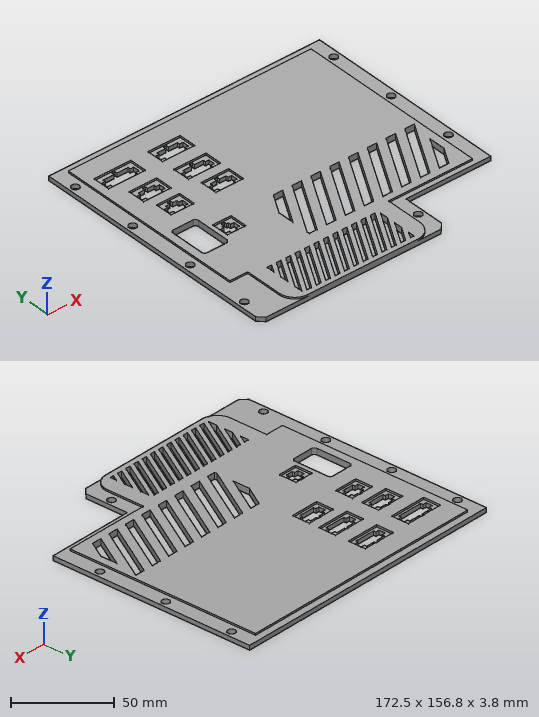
import cadquery as cq
import math

PLATE_LENGTH = 172.5
PLATE_WIDTH = 156.8
PLATE_THICKNESS = 2.8
TAB_LENGTH = 118.5
TAB_WIDTH = 30.0
TAB_CHAMFER = 3.6

TOTAL_HEIGHT = 3.8
PANEL_SIDE_MARGIN = 9.0
PANEL_TOP_MARGIN = 4.1
PANEL_BOTTOM = 33.1
PANEL_TAB_LEFT = 20.4
PANEL_TAB_RIGHT = 110.1
PANEL_TAB_RADIUS = 9.8

HOLE_DIAMETER = 4.7
HOLE_EDGE_MARGIN = 4.0
SIDE_HOLE_TOP = 141.7
SIDE_HOLE_ROWS = 3
SIDE_HOLE_PITCH = 42.5
TAB_HOLE_RIGHT_MARGIN = 3.8
TAB_HOLE_Y = 16.5

RECESS_DEPTH = 1.2
RECESS_HEIGHT = 10.9
SMALLEST_RECESS_LENGTH = 11.7
CONNECTOR_STEP = 3.0
EAR_MARGIN = 1.5
EAR_LENGTH = 2.2
EAR_HEIGHT = 4.0
BODY_HEIGHT = 7.0
BODY_BOTTOM_MARGIN = 1.4
KEY_LENGTH = 1.9
KEY_HEIGHT = 1.5
LEFT_COLUMN_RIGHT = 37.6
RIGHT_COLUMN_RIGHT = 69.0
UPPER_ROW_BOTTOM = 128.9
MIDDLE_ROW_BOTTOM = 109.7
LOWER_ROW_BOTTOM = 92.8
SMALL_CONNECTOR_RIGHT = 44.5
SMALL_CONNECTOR_BOTTOM = 62.6
CONNECTORS = [
    (LEFT_COLUMN_RIGHT, UPPER_ROW_BOTTOM, 4),
    (RIGHT_COLUMN_RIGHT, UPPER_ROW_BOTTOM, 3),
    (LEFT_COLUMN_RIGHT, MIDDLE_ROW_BOTTOM, 2),
    (RIGHT_COLUMN_RIGHT, MIDDLE_ROW_BOTTOM, 3),
    (LEFT_COLUMN_RIGHT, LOWER_ROW_BOTTOM, 1),
    (RIGHT_COLUMN_RIGHT, LOWER_ROW_BOTTOM, 2),
    (SMALL_CONNECTOR_RIGHT, SMALL_CONNECTOR_BOTTOM, 0),
]

WINDOW_LEFT = 14.0
WINDOW_BOTTOM = 58.0
WINDOW_LENGTH = 16.0
WINDOW_HEIGHT = 24.8
WINDOW_RADIUS = 1.9

SLOT_ANGLE = math.radians(60)
COARSE_SLOT_COUNT = 9
COARSE_SLOT_SPAN = 95.8
COARSE_PITCH = COARSE_SLOT_SPAN / (COARSE_SLOT_COUNT - 1)
COARSE_FIRST_X = 50.7
COARSE_LEFT = 63.7
COARSE_RIGHT = 158.7
COARSE_BOTTOM = 37.8
COARSE_TOP = 73.2
FINE_SLOT_COUNT = 15
FINE_PITCH = COARSE_PITCH / 2
FINE_FIRST_X = 14.5
FINE_LEFT = 29.9
FINE_RIGHT = 100.6
FINE_BOTTOM = 3.3
FINE_TOP = 29.9


def block(left, bottom, length, width, floor=0.0):
    """Box from the given floor up to the top of the part."""
    return cq.Workplane("XY").box(length, width, TOTAL_HEIGHT - floor, centered=False).translate(
        (left, bottom, floor)
    )


def base_plate():
    tab = block(0, 0, TAB_LENGTH, PLATE_WIDTH).edges("|Z and <Y").chamfer(TAB_CHAMFER)
    main = block(0, TAB_WIDTH, PLATE_LENGTH, PLATE_WIDTH - TAB_WIDTH)
    return tab.union(main).intersect(
        cq.Workplane("XY").box(PLATE_LENGTH, PLATE_WIDTH, PLATE_THICKNESS, centered=False)
    )


def raised_panel():
    panel_length = PLATE_LENGTH - 2 * PANEL_SIDE_MARGIN
    panel_top = PLATE_WIDTH - PANEL_TOP_MARGIN
    main = block(PANEL_SIDE_MARGIN, PANEL_BOTTOM, panel_length, panel_top - PANEL_BOTTOM, PLATE_THICKNESS)
    tab = block(PANEL_TAB_LEFT, 0, PANEL_TAB_RIGHT - PANEL_TAB_LEFT, panel_top, PLATE_THICKNESS)
    return main.union(tab.edges("|Z and <Y").fillet(PANEL_TAB_RADIUS))


def mounting_holes():
    centers = [(HOLE_EDGE_MARGIN, TAB_HOLE_Y), (TAB_LENGTH - TAB_HOLE_RIGHT_MARGIN, TAB_HOLE_Y)]
    for row in range(SIDE_HOLE_ROWS):
        y = SIDE_HOLE_TOP - row * SIDE_HOLE_PITCH
        centers.append((HOLE_EDGE_MARGIN, y))
        centers.append((PLATE_LENGTH - HOLE_EDGE_MARGIN, y))
    return cq.Workplane("XY").pushPoints(centers).circle(HOLE_DIAMETER / 2).extrude(TOTAL_HEIGHT)


def connector_cutout(right, bottom, steps):
    length = SMALLEST_RECESS_LENGTH + steps * CONNECTOR_STEP
    left = right - length
    recess = block(left, bottom, length, RECESS_HEIGHT, TOTAL_HEIGHT - RECESS_DEPTH)

    body_inset = EAR_MARGIN + EAR_LENGTH
    body_bottom = bottom + BODY_BOTTOM_MARGIN
    body = block(left + body_inset, body_bottom, length - 2 * body_inset, BODY_HEIGHT)

    ear_bottom = body_bottom + (BODY_HEIGHT - EAR_HEIGHT) / 2
    ears = block(left + EAR_MARGIN, ear_bottom, length - 2 * EAR_MARGIN, EAR_HEIGHT)

    key_left = left + (length - KEY_LENGTH) / 2
    key = block(key_left, body_bottom, KEY_LENGTH, BODY_HEIGHT + KEY_HEIGHT)
    return recess.union(body).union(ears).union(key)


def window():
    opening = block(WINDOW_LEFT, WINDOW_BOTTOM, WINDOW_LENGTH, WINDOW_HEIGHT)
    return opening.edges("|Z").fillet(WINDOW_RADIUS)


def slanted_slots(first_x, pitch, count, bottom, top):
    """Row of parallelograms leaning right; first_x is the lower left corner of the first."""
    lean = (top - bottom) / math.tan(SLOT_ANGLE)
    width = pitch / 2
    slots = cq.Workplane("XY")
    for index in range(count):
        x = first_x + index * pitch
        corners = [(x, bottom), (x + width, bottom), (x + width + lean, top), (x + lean, top)]
        slots = slots.add(cq.Workplane("XY").polyline(corners).close().extrude(TOTAL_HEIGHT))
    return slots.combine()


def coarse_vent():
    full_count = COARSE_SLOT_COUNT - 1
    height = COARSE_TOP - COARSE_BOTTOM
    last_x = COARSE_FIRST_X + full_count * COARSE_PITCH
    full_slots = slanted_slots(COARSE_FIRST_X, COARSE_PITCH, full_count, COARSE_BOTTOM, COARSE_TOP)
    last_slot = slanted_slots(last_x, COARSE_PITCH, 1, COARSE_BOTTOM, COARSE_TOP)
    full_slots = full_slots.intersect(block(COARSE_LEFT, COARSE_BOTTOM, PLATE_LENGTH - COARSE_LEFT, height))
    last_slot = last_slot.intersect(block(COARSE_LEFT, COARSE_BOTTOM, COARSE_RIGHT - COARSE_LEFT, height))
    return full_slots.union(last_slot)


def fine_vent():
    slots = slanted_slots(FINE_FIRST_X, FINE_PITCH, FINE_SLOT_COUNT, FINE_BOTTOM, FINE_TOP)
    return slots.intersect(block(FINE_LEFT, FINE_BOTTOM, FINE_RIGHT - FINE_LEFT, FINE_TOP - FINE_BOTTOM))


result = base_plate().union(raised_panel())
result = result.cut(mounting_holes()).cut(window()).cut(coarse_vent()).cut(fine_vent())
for right_end, bottom_edge, length_steps in CONNECTORS:
    result = result.cut(connector_cutout(right_end, bottom_edge, length_steps))